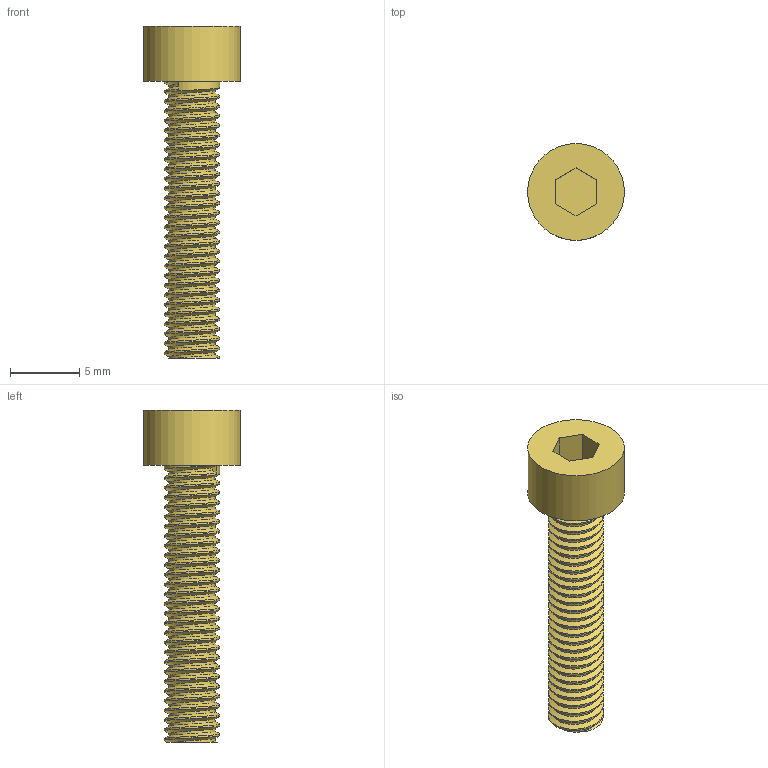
import cadquery as cq
import math

thread_diameter = 4.0
thread_pitch = 0.7
shank_length = 20.0
head_diameter = 7.0
head_height = 4.0
socket_sides = 6
socket_across_flats = 3.0
socket_depth = 2.5

flank_angle = math.radians(30)
crest_width = 0.12
root_width = 0.2
groove_width = thread_pitch - crest_width
groove_depth = (groove_width - root_width) / 2 / math.tan(flank_angle)

groove_end_angle = 241.0
groove_end_gap = 0.28
groove_end_height = shank_length - groove_end_gap
groove_turns = math.ceil(groove_end_height / thread_pitch)
groove_overlap = 0.04


def make_thread_groove():
    """Right-handed helical cutter that starts below the tip and stops under the head."""
    crest_radius = thread_diameter / 2
    root_radius = crest_radius - groove_depth
    outer_radius = crest_radius + groove_overlap
    half_root = root_width / 2
    half_outer = half_root + (outer_radius - root_radius) * math.tan(flank_angle)
    profile = (
        cq.Workplane("XZ")
        .moveTo(root_radius, -half_root)
        .lineTo(outer_radius, -half_outer)
        .lineTo(outer_radius, half_outer)
        .lineTo(root_radius, half_root)
        .close()
    )
    helix_height = groove_turns * thread_pitch
    helix = cq.Wire.makeHelix(thread_pitch, helix_height, crest_radius)
    groove = profile.sweep(cq.Workplane(obj=helix), isFrenet=True)
    start_angle = groove_end_angle - 360 * groove_turns
    start_height = groove_end_height - helix_height
    return groove.rotate((0, 0, 0), (0, 0, 1), start_angle).translate((0, 0, start_height))


def make_shank():
    shank = cq.Workplane("XY").circle(thread_diameter / 2).extrude(shank_length)
    return shank.cut(make_thread_groove())


def make_head():
    """Plain cylindrical head with a hexagon socket whose corners point along Y."""
    socket_across_corners = socket_across_flats / math.cos(math.pi / socket_sides)
    head = cq.Workplane("XY", origin=(0, 0, shank_length)).circle(head_diameter / 2).extrude(head_height)
    socket = (
        cq.Workplane("XY", origin=(0, 0, shank_length + head_height))
        .transformed(rotate=(0, 0, 90))
        .polygon(socket_sides, socket_across_corners)
        .extrude(-socket_depth)
    )
    return head.cut(socket)


result = make_head().union(make_shank())